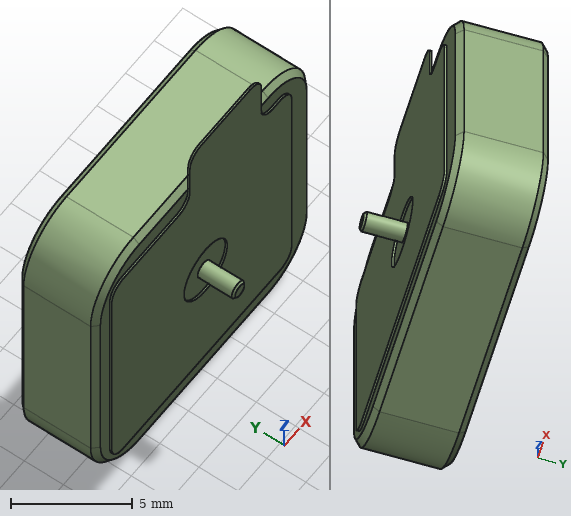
import cadquery as cq

block_side = 15.0
block_thickness = 4.0
block_corner_radius = 3.0
block_chamfer = 0.29

overall_height = 17.1

patch_side = 12.55
patch_thickness = 0.1
patch_offset_x = -0.27
patch_corner_radius = 0.8
tab_width = 5.0
tab_center_x = 1.4
tab_top = overall_height - block_side / 2
clearance_diameter = 3.01

pin_diameter = 0.85
pin_projection = 1.85
pin_tip_chamfer = 0.1
head_diameter = 1.65
head_height = 0.5


def front_sketch(y):
    """XZ workplane at depth y; positive extrusion runs toward -Y."""
    return cq.Workplane("XZ", origin=(0, y, 0))


def make_substrate():
    block = (
        front_sketch(block_thickness)
        .rect(block_side, block_side)
        .extrude(block_thickness)
        .edges("|Y")
        .fillet(block_corner_radius)
        .faces("<Y or >Y")
        .chamfer(block_chamfer)
    )
    pin_hole = front_sketch(block_thickness).circle(pin_diameter / 2).extrude(block_thickness)
    return block.cut(pin_hole)


def make_patch():
    tab = (
        front_sketch(0)
        .center(tab_center_x, tab_top / 2)
        .rect(tab_width, tab_top)
        .extrude(patch_thickness)
    )
    sheet = (
        front_sketch(0)
        .center(patch_offset_x, 0)
        .rect(patch_side, patch_side)
        .extrude(patch_thickness)
        .union(tab)
        .edges("|Y")
        .fillet(patch_corner_radius)
    )
    clearance_hole = front_sketch(0).circle(clearance_diameter / 2).extrude(patch_thickness)
    return sheet.cut(clearance_hole)


def make_pin():
    """Half profile in the YZ plane (Z is the radius), revolved about the Y axis."""
    shaft_radius = pin_diameter / 2
    head_radius = head_diameter / 2
    tip_y = -pin_projection
    head_top_y = block_thickness + head_height
    sphere_radius = (head_radius**2 + head_height**2) / (2 * head_height)
    sphere_center_y = head_top_y - sphere_radius
    arc_mid_radius = head_radius / 2
    arc_mid_y = sphere_center_y + (sphere_radius**2 - arc_mid_radius**2) ** 0.5
    return (
        cq.Workplane("YZ")
        .moveTo(tip_y, 0)
        .lineTo(tip_y, shaft_radius - pin_tip_chamfer)
        .lineTo(tip_y + pin_tip_chamfer, shaft_radius)
        .lineTo(block_thickness, shaft_radius)
        .lineTo(block_thickness, head_radius)
        .threePointArc((arc_mid_y, arc_mid_radius), (head_top_y, 0))
        .close()
        .revolve(360, (0, 0, 0), (1, 0, 0))
    )


substrate = make_substrate()
patch = make_patch()
pin = make_pin()

result = cq.Compound.makeCompound([substrate.val(), patch.val(), pin.val()])